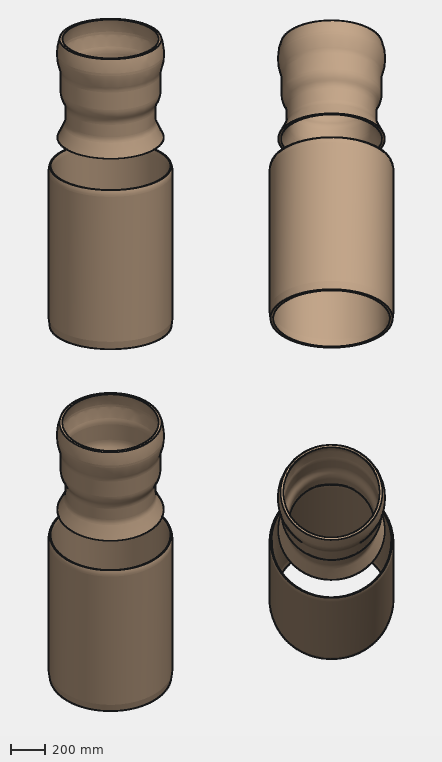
import cadquery as cq
import math

SLEEVE_RADIUS = 730.0 / 2
SLEEVE_BORE_RADIUS = 697.0 / 2
SLEEVE_TOP = 1017.0
SLEEVE_RIM_HEIGHT = 38.0
SLEEVE_RIM_ARC = 93.0
SLEEVE_LIP_HEIGHT = 33.0
SLEEVE_LIP_ARC = 183.0
SLEEVE_FOOT_HEIGHT = 51.0
SLEEVE_FOOT_TAPER = 6.4

WALL = 15.0
BULGE_RADIUS = 630.0 / 2
BODY_RADIUS = 590.0 / 2
WAIST_RADIUS = 530 / 2

ADAPTER_BOTTOM = 1200.0
FLARE_TOP = 1285.0
WAIST_BOTTOM = 1318.0
WAIST_TOP = 1396.0
SHOULDER_MIDDLE = 1442.0
BODY_BOTTOM = 1505.0
BODY_TOP = 1615.0
BULGE_BOTTOM = 1650.0
BULGE_BAND_BOTTOM = 1730.0
BULGE_BAND_TOP = 1745.0
ADAPTER_TOP = 1830.0

BULGE_SLOPE = 2 * math.atan((BULGE_RADIUS - BODY_RADIUS) / (BULGE_BAND_BOTTOM - BODY_TOP))
SHOULDER_SLOPE = 2 * math.atan((BODY_RADIUS - WAIST_RADIUS) / (BODY_BOTTOM - WAIST_TOP))
FLARE_SLOPE = math.radians(25.5)

BULGE_ARC = (BULGE_BAND_BOTTOM - BULGE_BOTTOM) / math.sin(BULGE_SLOPE)
NECK_ARC = (BULGE_BOTTOM - BODY_TOP) / math.sin(BULGE_SLOPE)
SHOULDER_ARC = (BODY_BOTTOM - SHOULDER_MIDDLE) / math.sin(SHOULDER_SLOPE)
WAIST_ARC = (SHOULDER_MIDDLE - WAIST_TOP) / math.sin(SHOULDER_SLOPE)
FLARE_ARC = (WAIST_BOTTOM - FLARE_TOP) / math.sin(FLARE_SLOPE)


def arc_point(center, arc_radius, angle):
    """Point (r, z) on an arc; the angle is measured from the outward radial direction."""
    return (
        center[0] + arc_radius * math.cos(angle),
        center[1] + arc_radius * math.sin(angle),
    )


def add_arc(outline, center, arc_radius, start_angle, end_angle):
    """Extend an (r, z) outline that already stands at the arc's start."""
    middle = arc_point(center, arc_radius, (start_angle + end_angle) / 2)
    return outline.threePointArc(middle, arc_point(center, arc_radius, end_angle))


def spin(outline):
    """Close an (r, z) outline and revolve it about the Z axis into a solid."""
    return outline.close().revolve(360, (0, 0, 0), (0, 1, 0))


def make_sleeve():
    """Tube with a tapered foot and a top rim rounded on its outer and bore edges."""
    rim_bottom = SLEEVE_TOP - SLEEVE_RIM_HEIGHT
    rim_angle = math.asin(SLEEVE_RIM_HEIGHT / SLEEVE_RIM_ARC)
    outer_center = (SLEEVE_RADIUS - SLEEVE_RIM_ARC, rim_bottom)
    lip_angle = math.asin(SLEEVE_LIP_HEIGHT / SLEEVE_LIP_ARC)
    lip_center = (SLEEVE_BORE_RADIUS + SLEEVE_LIP_ARC, SLEEVE_TOP - SLEEVE_LIP_HEIGHT)
    outline = (
        cq.Workplane("XZ")
        .moveTo(SLEEVE_BORE_RADIUS - SLEEVE_FOOT_TAPER, 0)
        .lineTo(SLEEVE_RADIUS - SLEEVE_FOOT_TAPER, 0)
        .lineTo(SLEEVE_RADIUS, SLEEVE_FOOT_HEIGHT)
        .lineTo(SLEEVE_RADIUS, rim_bottom)
    )
    outline = add_arc(outline, outer_center, SLEEVE_RIM_ARC, 0, rim_angle)
    outline = outline.lineTo(*arc_point(lip_center, SLEEVE_LIP_ARC, math.pi - lip_angle))
    outline = add_arc(outline, lip_center, SLEEVE_LIP_ARC, math.pi - lip_angle, math.pi)
    outline = outline.lineTo(SLEEVE_BORE_RADIUS, SLEEVE_FOOT_HEIGHT)
    return spin(outline)


def adapter_form(inset):
    """Solid form bounded by the adapter's outer surface moved inward by inset."""
    bulge_arc = BULGE_ARC - inset
    shoulder_arc = SHOULDER_ARC - inset
    neck_arc = NECK_ARC + inset
    waist_arc = WAIST_ARC + inset
    flare_arc = FLARE_ARC + inset

    flare_center = (WAIST_RADIUS + FLARE_ARC, WAIST_BOTTOM)
    flare_start = arc_point(flare_center, flare_arc, math.pi + FLARE_SLOPE)
    skirt_radius = flare_start[0] + (flare_start[1] - ADAPTER_BOTTOM) * math.tan(FLARE_SLOPE)
    outline = (
        cq.Workplane("XZ")
        .moveTo(0, ADAPTER_BOTTOM)
        .lineTo(skirt_radius, ADAPTER_BOTTOM)
        .lineTo(*flare_start)
    )
    outline = add_arc(outline, flare_center, flare_arc, math.pi + FLARE_SLOPE, math.pi)

    outline = outline.lineTo(WAIST_RADIUS - inset, WAIST_TOP)
    waist_center = (WAIST_RADIUS + WAIST_ARC, WAIST_TOP)
    outline = add_arc(outline, waist_center, waist_arc, math.pi, math.pi - SHOULDER_SLOPE)
    shoulder_center = (BODY_RADIUS - SHOULDER_ARC, BODY_BOTTOM)
    outline = add_arc(outline, shoulder_center, shoulder_arc, -SHOULDER_SLOPE, 0)

    outline = outline.lineTo(BODY_RADIUS - inset, BODY_TOP)
    neck_center = (BODY_RADIUS + NECK_ARC, BODY_TOP)
    outline = add_arc(outline, neck_center, neck_arc, math.pi, math.pi - BULGE_SLOPE)

    bulge_center_radius = BULGE_RADIUS - BULGE_ARC
    outline = add_arc(outline, (bulge_center_radius, BULGE_BAND_BOTTOM), bulge_arc, -BULGE_SLOPE, 0)
    outline = outline.lineTo(BULGE_RADIUS - inset, BULGE_BAND_TOP)
    mouth_angle = math.asin((ADAPTER_TOP - BULGE_BAND_TOP) / bulge_arc)
    outline = add_arc(outline, (bulge_center_radius, BULGE_BAND_TOP), bulge_arc, 0, mouth_angle)
    return spin(outline.lineTo(0, ADAPTER_TOP))


def make_adapter():
    return adapter_form(0).cut(adapter_form(WALL))


sleeve = make_sleeve()
adapter = make_adapter()
result = cq.Compound.makeCompound([sleeve.val(), adapter.val()])